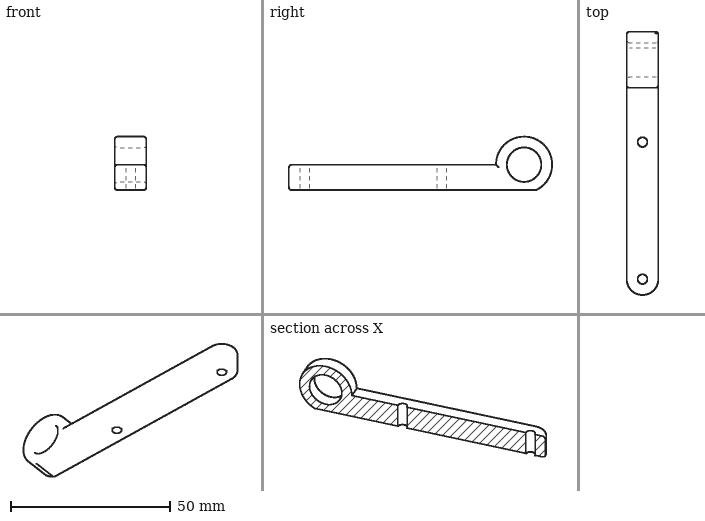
import cadquery as cq
import math

length = 82.65
width = 10.0
height = 16.9

ring_radius = 8.85
bore_diameter = 10.75

arm_thickness = 8.0
hole_diameter = 3.0
hole_spacing = 43.0
edge_radius = 1.0

underside_z = ring_radius - height
arm_top_z = underside_z + arm_thickness
end_radius = width / 2
ring_y = length / 2 - ring_radius
tip_y = -length / 2
end_center_y = tip_y + end_radius

underside_y = ring_y + math.sqrt(ring_radius**2 - underside_z**2)

arm_top_y = ring_y - math.sqrt(ring_radius**2 - arm_top_z**2)


def side_body():
    """Ring and arm outline in the YZ plane, extruded across the width."""
    return (
        cq.Workplane("YZ")
        .moveTo(tip_y, underside_z)
        .lineTo(underside_y, underside_z)
        .threePointArc((ring_y, ring_radius), (arm_top_y, arm_top_z))
        .lineTo(tip_y, arm_top_z)
        .close()
        .extrude(width / 2, both=True)
    )


def round_tip(body):
    """Trim the free end of the arm to a half circle seen from above."""
    plan = (
        cq.Workplane("XY", origin=(0, 0, underside_z))
        .moveTo(-end_radius, end_center_y)
        .threePointArc((0, tip_y), (end_radius, end_center_y))
        .lineTo(end_radius, length / 2)
        .lineTo(-end_radius, length / 2)
        .close()
        .extrude(height)
    )
    return body.intersect(plan)


def bore_ring(body):
    """Cut the bore right through the ring."""
    bore = (
        cq.Workplane("YZ", origin=(0, ring_y, 0))
        .circle(bore_diameter / 2)
        .extrude(width, both=True)
    )
    return body.cut(bore)


def round_edges(body):
    """Round both side outlines, the bore mouths and the rim of the tip."""
    side_edges = body.faces("<X or >X").edges("not |Z")
    tip_rims = body.faces("|Z").edges("%CIRCLE")
    return body.newObject(side_edges.vals() + tip_rims.vals()).fillet(edge_radius)


def drill_arm(body):
    """Drill the two vertical screw holes through the arm."""
    holes = (
        cq.Workplane("XY", origin=(0, 0, underside_z))
        .pushPoints([(0, end_center_y), (0, end_center_y + hole_spacing)])
        .circle(hole_diameter / 2)
        .extrude(arm_thickness)
    )
    return body.cut(holes)


result = drill_arm(round_edges(bore_ring(round_tip(side_body()))))